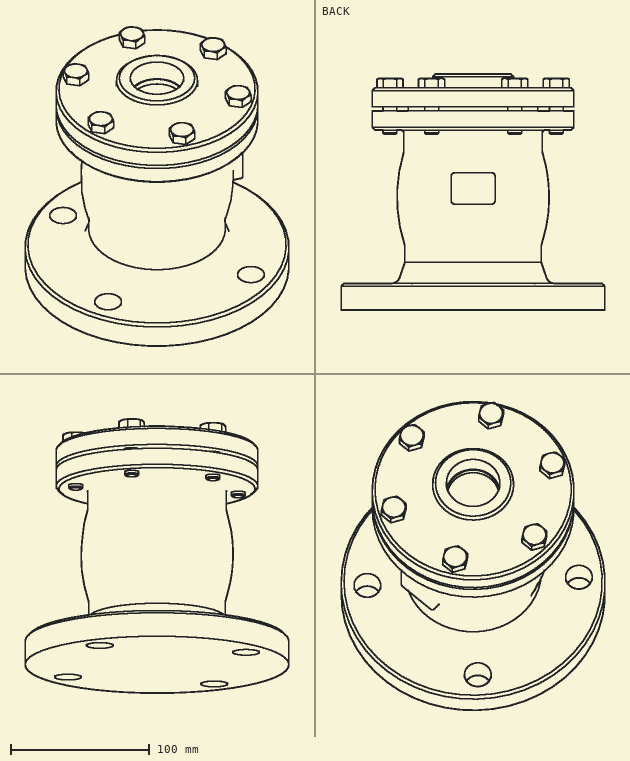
import cadquery as cq
import math

BASE_DIA = 190.0
BASE_TOP = 19.4
BASE_HOLE_DIA = 19.2
BASE_HOLE_CIRCLE_DIA = 152.4
BASE_HOLE_COUNT = 4

FOOT_FILLET = 6.0
FOOT_DIA = 108.7
FLARE_TOP = 34.4
LOWER_NECK_DIA = 98.5
BULB_BOTTOM = 46.4
BULB_DIA = 109.6
BULB_MID = 81.7
BULB_TOP = 113.8
UPPER_NECK_DIA = 100.0

FLANGE_DIA = 145.4
LOWER_FLANGE_BOTTOM = 129.5
LOWER_FLANGE_TOP = 143.5
COVER_BOTTOM = 146.3
COVER_TOP = 160.2
SPIGOT_DIA = 93.5
EDGE_CHAMFER = 2.0
NECK_FILLET = 2.0

TOTAL_HEIGHT = 170.0
COLLAR_DIA = 58.3
COLLAR_FILLET = 3.5
BORE_DIA = 38.4
BORE_DEPTH = 15.2
INNER_BORE_DIA = 37.2
INNER_BORE_DEPTH = 19.4
DRILL_POINT_ANGLE = 120.0

BOLT_COUNT = 6
BOLT_CIRCLE_DIA = 119.7
BOLT_DIA = 10.0
BOLT_END = 126.7
BOLT_END_CHAMFER = 1.0
HEAD_SIDES = 6
HEAD_FLATS = 16.3
HEAD_TOP = 166.8
HEAD_CHAMFER_ANGLE = 30.0

PAD_WIDTH = 31.5
PAD_HEIGHT = 22.5
PAD_MID = 87.5
PAD_FACE_Y = 60.2
PAD_ROOT_Y = 38.0
PAD_CORNER_RADIUS = 2.3
PAD_FACE_FILLET = 1.3
PAD_ROOT_FILLET = 1.5

SELECT_MARGIN = 0.2


def disc(diameter, bottom, top):
    return cq.Workplane("XY").workplane(offset=bottom).circle(diameter / 2).extrude(top - bottom)


def make_base():
    flange = disc(BASE_DIA, 0, BASE_TOP).faces(">Z").chamfer(EDGE_CHAMFER)
    step = 360 / BASE_HOLE_COUNT
    holes = (
        cq.Workplane("XY")
        .polarArray(BASE_HOLE_CIRCLE_DIA / 2, step / 2, 360, BASE_HOLE_COUNT)
        .circle(BASE_HOLE_DIA / 2)
        .extrude(BASE_TOP)
    )
    return flange.cut(holes)


def make_body():
    return (
        cq.Workplane("XZ")
        .lineTo(FOOT_DIA / 2, 0)
        .lineTo(FOOT_DIA / 2, BASE_TOP)
        .lineTo(LOWER_NECK_DIA / 2, FLARE_TOP)
        .lineTo(LOWER_NECK_DIA / 2, BULB_BOTTOM)
        .threePointArc((BULB_DIA / 2, BULB_MID), (UPPER_NECK_DIA / 2, BULB_TOP))
        .lineTo(UPPER_NECK_DIA / 2, LOWER_FLANGE_BOTTOM)
        .lineTo(0, LOWER_FLANGE_BOTTOM)
        .close()
        .revolve(360, (0, 0), (0, 1))
    )


def make_pad():
    return (
        cq.Workplane("XZ", origin=(0, PAD_ROOT_Y, PAD_MID))
        .rect(PAD_WIDTH, PAD_HEIGHT)
        .extrude(PAD_ROOT_Y - PAD_FACE_Y)
        .edges("|Y")
        .fillet(PAD_CORNER_RADIUS)
        .faces(">Y")
        .edges()
        .fillet(PAD_FACE_FILLET)
    )


def make_body_with_pad():
    body = make_body().union(make_pad())
    half_width = PAD_WIDTH / 2 + SELECT_MARGIN
    half_height = PAD_HEIGHT / 2 + SELECT_MARGIN
    root_box = cq.selectors.BoxSelector(
        (-half_width, PAD_ROOT_Y, PAD_MID - half_height),
        (half_width, BULB_DIA / 2 + SELECT_MARGIN, PAD_MID + half_height),
        boundingbox=True,
    )
    return body.edges(root_box).fillet(PAD_ROOT_FILLET)


def make_flange_pair():
    lower = disc(FLANGE_DIA, LOWER_FLANGE_BOTTOM, LOWER_FLANGE_TOP).faces("<Z").chamfer(EDGE_CHAMFER)
    spigot = disc(SPIGOT_DIA, LOWER_FLANGE_TOP, COVER_BOTTOM)
    cover = disc(FLANGE_DIA, COVER_BOTTOM, COVER_TOP).faces(">Z").chamfer(EDGE_CHAMFER)
    return lower.union(spigot).union(cover)


def make_collar():
    return disc(COLLAR_DIA, COVER_TOP, TOTAL_HEIGHT).faces(">Z").chamfer(EDGE_CHAMFER)


def make_bore():
    inner_radius = INNER_BORE_DIA / 2
    point_depth = inner_radius / math.tan(math.radians(DRILL_POINT_ANGLE / 2))
    shoulder = TOTAL_HEIGHT - BORE_DEPTH
    floor = TOTAL_HEIGHT - INNER_BORE_DEPTH
    return (
        cq.Workplane("XZ")
        .moveTo(0, TOTAL_HEIGHT)
        .lineTo(BORE_DIA / 2, TOTAL_HEIGHT)
        .lineTo(BORE_DIA / 2, shoulder)
        .lineTo(inner_radius, shoulder)
        .lineTo(inner_radius, floor)
        .lineTo(0, floor - point_depth)
        .close()
        .revolve(360, (0, 0), (0, 1))
    )


def make_bolt():
    shank = disc(BOLT_DIA, BOLT_END, COVER_TOP).faces("<Z").chamfer(BOLT_END_CHAMFER)
    corner_radius = HEAD_FLATS / 2 / math.cos(math.pi / HEAD_SIDES)
    head = (
        cq.Workplane("XY")
        .workplane(offset=COVER_TOP)
        .polygon(HEAD_SIDES, 2 * corner_radius)
        .extrude(HEAD_TOP - COVER_TOP)
    )
    slope = math.tan(math.radians(HEAD_CHAMFER_ANGLE))
    trim_cone = (
        cq.Workplane("XZ")
        .moveTo(0, COVER_TOP)
        .lineTo(HEAD_FLATS, COVER_TOP)
        .lineTo(HEAD_FLATS, HEAD_TOP - slope * HEAD_FLATS / 2)
        .lineTo(HEAD_FLATS / 2, HEAD_TOP)
        .lineTo(0, HEAD_TOP)
        .close()
        .revolve(360, (0, 0), (0, 1))
    )
    return shank.union(head.intersect(trim_cone))


def circle_edge(diameter, height):
    """Selector for the circular edge of this diameter about the Z axis at this height."""
    reach = diameter / 2 + SELECT_MARGIN
    return cq.selectors.BoxSelector(
        (-reach, -reach, height - SELECT_MARGIN),
        (reach, reach, height + SELECT_MARGIN),
        boundingbox=True,
    )


result = make_base().union(make_body_with_pad())
result = result.edges(circle_edge(FOOT_DIA, BASE_TOP)).fillet(FOOT_FILLET)

result = result.union(make_flange_pair()).union(make_collar())
result = result.edges(circle_edge(UPPER_NECK_DIA, LOWER_FLANGE_BOTTOM)).fillet(NECK_FILLET)
result = result.edges(circle_edge(COLLAR_DIA, COVER_TOP)).fillet(COLLAR_FILLET)
result = result.cut(make_bore())

bolt = make_bolt()
for index in range(BOLT_COUNT):
    angle = math.radians(index * 360 / BOLT_COUNT)
    offset_x = BOLT_CIRCLE_DIA / 2 * math.cos(angle)
    offset_y = BOLT_CIRCLE_DIA / 2 * math.sin(angle)
    result = result.union(bolt.translate((offset_x, offset_y, 0)))